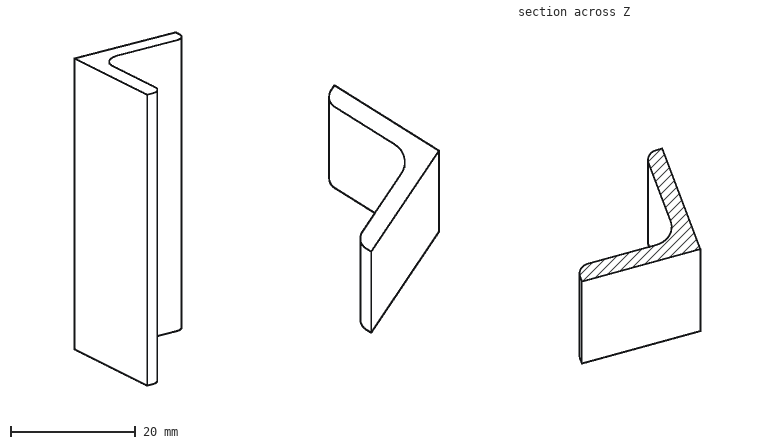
import cadquery as cq

leg_length = 20.0
leg_thickness = 3.0
bar_length = 50.0
root_radius = 3.5
toe_radius = 2.0


def angle_bar():
    """Sharp-cornered L section with its outer corner on the Z axis."""
    outline = [
        (0, 0),
        (leg_length, 0),
        (leg_length, leg_thickness),
        (leg_thickness, leg_thickness),
        (leg_thickness, leg_length),
        (0, leg_length),
    ]
    return cq.Workplane("XY").polyline(outline).close().extrude(bar_length)


def round_vertical_edge(body, x, y, radius):
    """Fillet the vertical edge that passes through (x, y)."""
    edge_middle = (x, y, bar_length / 2)
    return body.edges(cq.selectors.NearestToPointSelector(edge_middle)).fillet(radius)


result = angle_bar()
result = round_vertical_edge(result, leg_thickness, leg_thickness, root_radius)
result = round_vertical_edge(result, leg_length, leg_thickness, toe_radius)
result = round_vertical_edge(result, leg_thickness, leg_length, toe_radius)